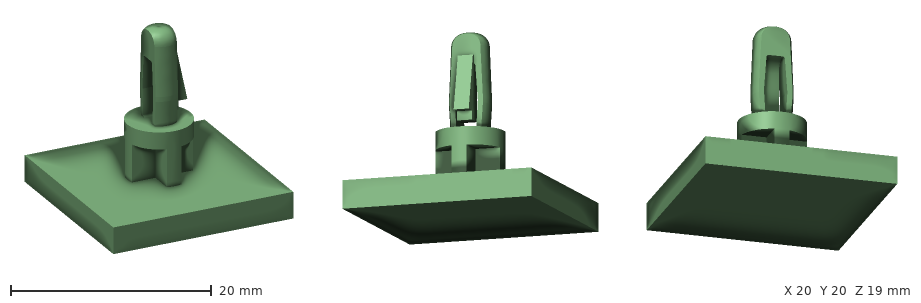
import cadquery as cq
import math

base_side = 20.0
liner_thickness = 0.1
pad_thickness = 0.8
plate_thickness = 2.0
pad_bottom = liner_thickness
plate_bottom = pad_bottom + pad_thickness
plate_top = plate_bottom + plate_thickness

standoff_height = 6.0
collar_diameter = 7.0
collar_thickness = 1.85
rib_thickness = 1.6
collar_top = plate_top + standoff_height
rib_height = standoff_height - collar_thickness

overall_height = 18.95
post_flat_width = 2.5
post_foot_radius = 2.0
post_belly_radius = 2.15
post_shoulder_radius = 1.95
belly_bottom = collar_top + 2.75
belly_top = belly_bottom + 0.52
dome_radius = 1.45
dome_center_radius = post_shoulder_radius - dome_radius
shoulder_z = overall_height - dome_radius
dimple_z = shoulder_z + math.sqrt(dome_radius**2 - dome_center_radius**2)

window_foot_half_width = 1.05
window_belly_half_width = 1.22
window_top_half_width = 0.95
window_top = collar_top + 6.75
window_belly_z = (belly_bottom + belly_top) / 2
window_corner_radius = 0.25

tongue_width = 1.6
tongue_front_y = 0.3
tongue_root_radius = 1.2
tongue_bottom = collar_top + 0.95
tongue_back_y = 1.75
barb_tip_y = 2.75
barb_bottom = tongue_bottom + 0.95
barb_top_y = 1.55
barb_top = collar_top + 7.6


def square_layer(bottom, thickness):
    return cq.Workplane("XY").workplane(offset=bottom).rect(base_side, base_side).extrude(thickness)


def make_standoff():
    collar = (
        cq.Workplane("XY").workplane(offset=collar_top)
        .circle(collar_diameter / 2).extrude(-collar_thickness)
    )
    ribs = (
        cq.Workplane("XY").workplane(offset=plate_top)
        .rect(collar_diameter, rib_thickness).extrude(rib_height)
        .union(
            cq.Workplane("XY").workplane(offset=plate_top)
            .rect(rib_thickness, collar_diameter).extrude(rib_height)
        )
    )
    envelope = (
        cq.Workplane("XY").workplane(offset=plate_top)
        .circle(collar_diameter / 2).extrude(rib_height)
    )
    return collar.union(ribs.intersect(envelope))


def make_barrel():
    """Turned post with a swollen belly and a rounded, slightly dimpled top, cut to a flat-sided slab."""
    dome_mid_offset = dome_radius * math.sqrt(0.5)
    barrel = (
        cq.Workplane("XZ")
        .moveTo(0, collar_top)
        .lineTo(post_foot_radius, collar_top)
        .lineTo(post_belly_radius, belly_bottom)
        .lineTo(post_belly_radius, belly_top)
        .lineTo(post_shoulder_radius, shoulder_z)
        .threePointArc(
            (dome_center_radius + dome_mid_offset, shoulder_z + dome_mid_offset),
            (0, dimple_z),
        )
        .close()
        .revolve(360, (0, 0, 0), (0, 1, 0))
    )
    slab = (
        cq.Workplane("XY").workplane(offset=collar_top)
        .rect(collar_diameter, post_flat_width).extrude(overall_height - collar_top)
    )
    return barrel.intersect(slab)


def make_window():
    """Cutter bulging at the belly, with rounded corners at its floor and roof."""
    window = (
        cq.Workplane("XZ")
        .moveTo(-window_foot_half_width, collar_top)
        .lineTo(window_foot_half_width, collar_top)
        .lineTo(window_belly_half_width, window_belly_z)
        .lineTo(window_top_half_width, window_top)
        .lineTo(-window_top_half_width, window_top)
        .lineTo(-window_belly_half_width, window_belly_z)
        .close()
        .extrude(post_flat_width / 2, both=True)
    )
    return window.edges("|Y and (<Z or >Z)").fillet(window_corner_radius)


def make_tongue():
    """Latch tongue with a concave root at the window roof and a barb on its +Y side."""
    root_mid_offset = tongue_root_radius * (1 - math.sqrt(0.5))
    return (
        cq.Workplane("YZ")
        .moveTo(tongue_front_y, tongue_bottom)
        .lineTo(tongue_back_y, tongue_bottom)
        .lineTo(tongue_back_y, barb_bottom)
        .lineTo(barb_tip_y, barb_bottom)
        .lineTo(barb_top_y, barb_top)
        .lineTo(tongue_front_y - tongue_root_radius, barb_top)
        .lineTo(tongue_front_y - tongue_root_radius, window_top)
        .threePointArc(
            (tongue_front_y - root_mid_offset, window_top - root_mid_offset),
            (tongue_front_y, window_top - tongue_root_radius),
        )
        .close()
        .extrude(tongue_width / 2, both=True)
    )


def make_support():
    plate = square_layer(plate_bottom, plate_thickness)
    post = make_barrel().cut(make_window()).union(make_tongue())
    return plate.union(make_standoff()).union(post).solids()


release_liner = square_layer(0, liner_thickness)
adhesive_pad = square_layer(pad_bottom, pad_thickness)
support = make_support()

result = cq.Compound.makeCompound([release_liner.val(), adhesive_pad.val(), support.val()])